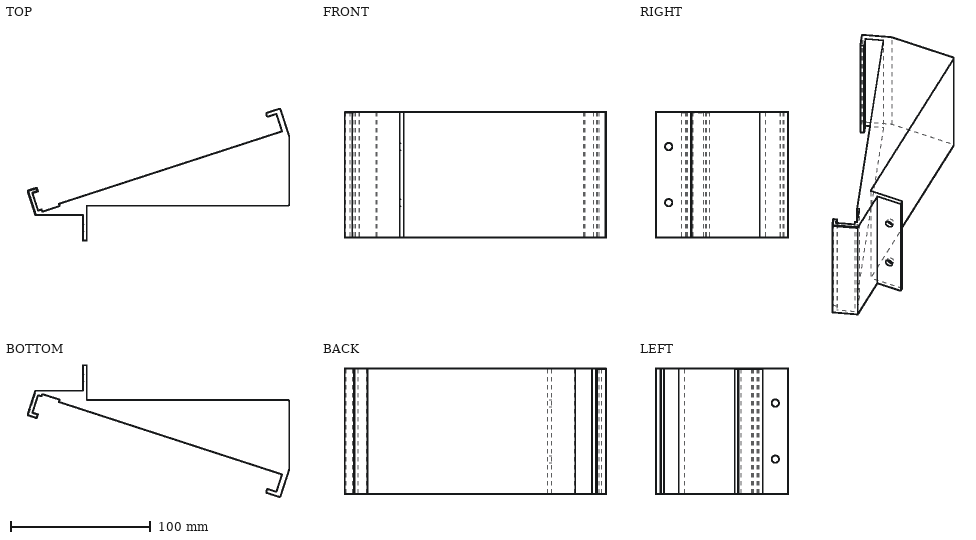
import cadquery as cq
import math

length = 187.5
depth = 94.5
height = 90.0

slope = 18.0
wall = 3.0
clip_height = 18.5
front_hook_length = 7.1
rear_hook_length = 10.9
rear_wall = 4.0
seat = 2.6
recess_floor = 1.0
recess_start = 5.6
recess_end = 18.5
clip_chamfer = 0.5

flange_x = 39.5
flange_depth = 18.2
body_y = 25.0
corner_chamfer = 0.7
hole_diameter = 5.0
hole_spacing = 40.1

slope_cos = math.cos(math.radians(slope))
slope_sin = math.sin(math.radians(slope))

channel_x = (clip_height - clip_chamfer) * slope_sin
channel_y = flange_depth
channel_length = (depth - channel_y - clip_height * slope_cos) / slope_sin + clip_chamfer


def on_slope(along, across):
    """Point given along and across the slope, in the XY plane."""
    return (
        channel_x + along * slope_cos - across * slope_sin,
        channel_y + along * slope_sin + across * slope_cos,
    )


def make_profile():
    hook_inner = clip_height - wall
    rear_inner = channel_length - rear_wall
    rear_top_x, rear_top_y = on_slope(channel_length, clip_height - clip_chamfer)
    rear_hook_end = channel_length - rear_hook_length
    rear_bend_y = rear_top_y - (length - rear_top_x) * slope_cos / slope_sin

    front_clip = [
        on_slope(0, 0),
        on_slope(0, clip_height - clip_chamfer),
        on_slope(clip_chamfer, clip_height),
        on_slope(front_hook_length, clip_height),
        on_slope(front_hook_length, hook_inner),
        on_slope(wall, hook_inner),
        on_slope(wall, seat),
    ]

    recess = [
        on_slope(recess_start, seat),
        on_slope(recess_start, recess_floor),
        on_slope(recess_end, recess_floor),
        on_slope(recess_end, seat),
    ]

    rear_clip = [
        on_slope(rear_inner, seat),
        on_slope(rear_inner, hook_inner),
        on_slope(rear_hook_end + clip_chamfer, hook_inner),
        on_slope(rear_hook_end, hook_inner + clip_chamfer),
        on_slope(rear_hook_end, clip_height - clip_chamfer),
        on_slope(rear_hook_end + clip_chamfer, clip_height),
        on_slope(channel_length - clip_chamfer, clip_height),
        (rear_top_x, rear_top_y),
        (length, rear_bend_y),
    ]

    body_and_flange = [
        (length, body_y + corner_chamfer),
        (length - corner_chamfer, body_y),
        (flange_x + wall, body_y),
        (flange_x + wall, 0),
        (flange_x, 0),
        (flange_x, flange_depth),
    ]
    return front_clip + recess + rear_clip + body_and_flange


def make_flange_holes():
    """Two holes running along X through the mounting flange."""
    return (
        cq.Workplane("YZ", origin=(flange_x, flange_depth / 2, height / 2))
        .rarray(1.9, hole_spacing, 1, 2)
        .circle(hole_diameter / 2)
        .extrude(wall)
    )


def chamfer_front_clip(body):
    """Bevel the top edges of the front clip's outer wall and of its hook."""
    hook_inner = clip_height - wall
    edge_middles = [
        on_slope(0, (clip_height - clip_chamfer) / 2),
        on_slope(clip_chamfer / 2, clip_height - clip_chamfer / 2),
        on_slope((front_hook_length + clip_chamfer) / 2, clip_height),
        on_slope(front_hook_length, clip_height - wall / 2),
        on_slope((front_hook_length + wall) / 2, hook_inner),
    ]
    edges = body.newObject([])
    for x, y in edge_middles:
        edges = edges.add(body.edges(cq.NearestToPointSelector((x, y, height))))
    return edges.chamfer(clip_chamfer)


bracket = cq.Workplane("XY").polyline(make_profile()).close().extrude(height)
bracket = chamfer_front_clip(bracket)
result = bracket.cut(make_flange_holes())